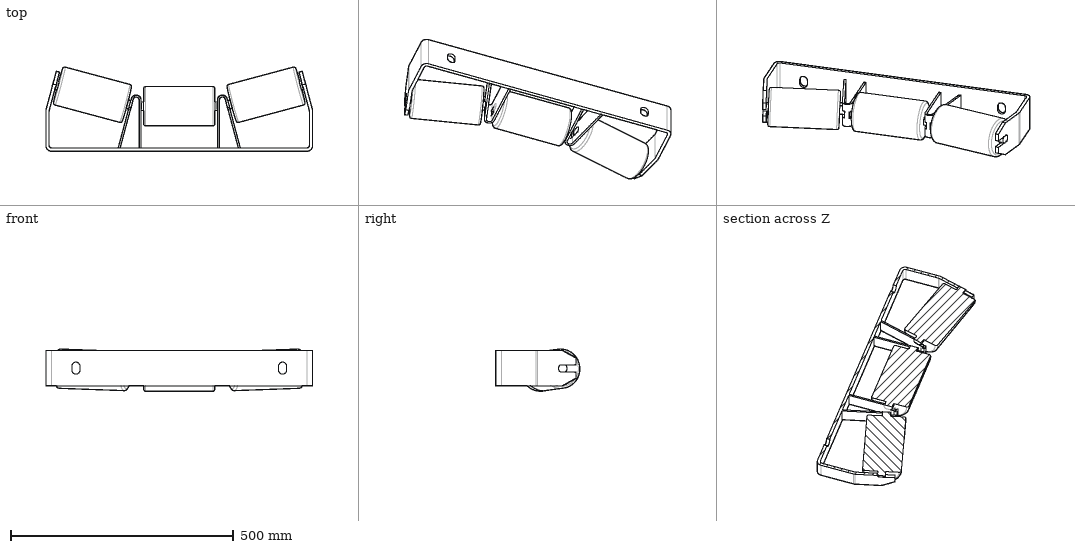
import cadquery as cq
import math

frame_length = 600.0
bar_height = 80.0
bar_thickness = 8.0
bend_radius = 13.0
lean_angle = 15.0
lean_start = 90.5
leaning_length = 89.5
tip_chamfer_along = 30.0
tip_chamfer_across = 16.0

mount_slot_offset = 232.0
mount_slot_length = 27.0
mount_slot_width = 18.0

roller_diameter = 89.0
roller_length = 160.0
roller_edge_radius = 5.0
center_roller_gap = 5.5
axle_diameter = 20.0
axle_flat_width = 16.0
shoulder_clearance = 0.5
center_roller_y = 101.5
center_roller_z = -8.0
side_roller_x = 195.0
side_roller_y = 127.0
side_roller_z = center_roller_z / 2
side_roller_tilt = 2.0
slot_opening = 60.0

hairpin_thickness = 5.0
hairpin_height = 56.0
hairpin_top = 126.5
hairpin_bend_radius = 11.5

half_length = frame_length / 2
lean = math.radians(lean_angle)
lean_sin = math.sin(lean)
lean_cos = math.cos(lean)
hairpin_face = roller_length / 2 + center_roller_gap
hairpin_bend_x = hairpin_face + hairpin_bend_radius
hairpin_bend_y = hairpin_top - hairpin_bend_radius


def along_side_axle(x, y):
    """Distance of a point in the XY plane from the right roller's middle, measured along its axle."""
    return (x - side_roller_x) * lean_cos + (y - side_roller_y) * lean_sin


side_to_hairpin = -along_side_axle(hairpin_bend_x, hairpin_bend_y) - hairpin_bend_radius
side_to_leg = along_side_axle(half_length - bend_radius, lean_start) + bend_radius - bar_thickness


def mirror_copy(body):
    return body.mirror("YZ")


def polar(center, radius, angle):
    """Point at an angle (radians) from +X on a circle about center."""
    return (center[0] + radius * math.cos(angle), center[1] + radius * math.sin(angle))


def make_bent_bar():
    """Right half of the bar with its leg, joined to its mirror image."""
    inner_radius = bend_radius - bar_thickness
    inner_x = half_length - bar_thickness
    corner = (half_length - bend_radius, bend_radius)
    lean_bend = (half_length - bend_radius, lean_start)
    corner_middle = -math.pi / 4
    bend_end = polar(lean_bend, bend_radius, lean)
    tip = (bend_end[0] - leaning_length * lean_sin, bend_end[1] + leaning_length * lean_cos)
    inner_tip = (tip[0] - bar_thickness * lean_cos, tip[1] - bar_thickness * lean_sin)
    half_bar = (
        cq.Workplane("XY", origin=(0, 0, -bar_height / 2))
        .moveTo(0, 0)
        .lineTo(corner[0], 0)
        .threePointArc(polar(corner, bend_radius, corner_middle), (half_length, corner[1]))
        .lineTo(half_length, lean_start)
        .threePointArc(polar(lean_bend, bend_radius, lean / 2), bend_end)
        .lineTo(*tip)
        .lineTo(*inner_tip)
        .lineTo(*polar(lean_bend, inner_radius, lean))
        .threePointArc(polar(lean_bend, inner_radius, lean / 2), (inner_x, lean_start))
        .lineTo(inner_x, corner[1])
        .threePointArc(polar(corner, inner_radius, corner_middle), (corner[0], bar_thickness))
        .lineTo(0, bar_thickness)
        .close()
        .extrude(bar_height)
    )
    half_bar = half_bar.cut(make_tip_corners(tip))
    return half_bar.union(mirror_copy(half_bar))


def make_tip_corners(tip):
    """Two wedges that bevel the corners of a leg's tip, square to the leaning face."""
    leg_plane = cq.Plane(
        origin=(tip[0], tip[1], 0),
        xDir=(lean_sin, -lean_cos, 0),
        normal=(lean_cos, lean_sin, 0),
    )
    edge = bar_height / 2
    upper = (
        cq.Workplane(leg_plane)
        .polyline([(0, edge), (tip_chamfer_along, edge), (0, edge - tip_chamfer_across)])
        .close()
        .extrude(2 * bar_thickness, both=True)
    )
    return upper.union(upper.mirror("XY"))


def make_mount_slots():
    return (
        cq.Workplane("XZ")
        .pushPoints([(-mount_slot_offset, 0), (mount_slot_offset, 0)])
        .slot2D(mount_slot_length, mount_slot_width, 90)
        .extrude(-bar_thickness)
    )


def make_hairpin():
    """Right support: an upright leg, a rounded top and a leaning leg, standing on the bar."""
    bend = (hairpin_bend_x, hairpin_bend_y)
    inner_radius = hairpin_bend_radius - hairpin_thickness

    def foot(radius):
        """Where the leaning face that is tangent to this bend radius meets the bar."""
        x, y = polar(bend, radius, lean)
        return (x + (y - bar_thickness) * math.tan(lean), bar_thickness)

    return (
        cq.Workplane("XY", origin=(0, 0, center_roller_z - hairpin_height / 2))
        .moveTo(hairpin_face, bar_thickness)
        .lineTo(hairpin_face, bend[1])
        .threePointArc((bend[0], hairpin_top), polar(bend, hairpin_bend_radius, lean))
        .lineTo(*foot(hairpin_bend_radius))
        .lineTo(*foot(inner_radius))
        .lineTo(*polar(bend, inner_radius, lean))
        .threePointArc((bend[0], bend[1] + inner_radius), (bend[0] - inner_radius, bend[1]))
        .lineTo(hairpin_face + hairpin_thickness, bar_thickness)
        .close()
        .extrude(hairpin_height)
    )


def make_flatted_axle(start, length):
    """Axle end with two flats, running along +X from start."""
    end_plane = cq.Workplane("YZ", origin=(start, 0, 0))
    flats = end_plane.rect(axle_diameter, axle_flat_width).extrude(length)
    return end_plane.circle(axle_diameter / 2).extrude(length).intersect(flats)


def make_axle(support_face, support_thickness):
    """Right half of an axle: round up to its support, flatted through it."""
    shoulder = support_face - shoulder_clearance
    axle = cq.Workplane("YZ").circle(axle_diameter / 2).extrude(shoulder)
    return axle.union(make_flatted_axle(shoulder, support_thickness + shoulder_clearance))


def make_roller(left_support, right_support):
    """Drum with both axle ends; each support is its face's distance and its thickness."""
    drum = (
        cq.Workplane("YZ", origin=(-roller_length / 2, 0, 0))
        .circle(roller_diameter / 2)
        .extrude(roller_length)
        .edges()
        .fillet(roller_edge_radius)
    )
    return drum.union(make_axle(*right_support)).union(mirror_copy(make_axle(*left_support)))


def make_axle_slot(support_face, support_thickness):
    """Cutter for a right-hand support: the flatted axle's shape, open toward +Y."""
    start = support_face - shoulder_clearance
    length = support_thickness + 2 * shoulder_clearance
    opening = (
        cq.Workplane("YZ", origin=(start, slot_opening / 2, 0))
        .rect(slot_opening, axle_flat_width)
        .extrude(length)
    )
    return make_flatted_axle(start, length).union(opening)


def place_center(body):
    return body.translate((0, center_roller_y, center_roller_z))


def place_right(body):
    tilted = body.rotate((0, 0, 0), (0, 1, 0), -side_roller_tilt)
    leaned = tilted.rotate((0, 0, 0), (0, 0, 1), lean_angle)
    return leaned.translate((side_roller_x, side_roller_y, side_roller_z))


upright_support = (hairpin_face, hairpin_thickness)
leaning_support = (side_to_hairpin, hairpin_thickness)
leg_support = (side_to_leg, bar_thickness)


def make_frame():
    """Bar, hairpins and the center roller, which is fixed in the hairpins' upright legs."""
    leg_slot = place_right(make_axle_slot(*leg_support))
    bar = make_bent_bar().cut(make_mount_slots()).cut(leg_slot).cut(mirror_copy(leg_slot))
    leaning_slot = place_right(mirror_copy(make_axle_slot(*leaning_support)))
    upright_slot = place_center(make_axle_slot(*upright_support))
    hairpin = make_hairpin().cut(leaning_slot).cut(upright_slot)
    center_roller = place_center(make_roller(upright_support, upright_support))
    frame = bar.union(hairpin).union(mirror_copy(hairpin))
    return frame.union(center_roller, clean=False)


frame = make_frame()
right_roller = place_right(make_roller(leaning_support, leg_support))
side_rollers = [right_roller, mirror_copy(right_roller)]

result = cq.Compound.makeCompound([frame.val(), *[roller.val() for roller in side_rollers]])